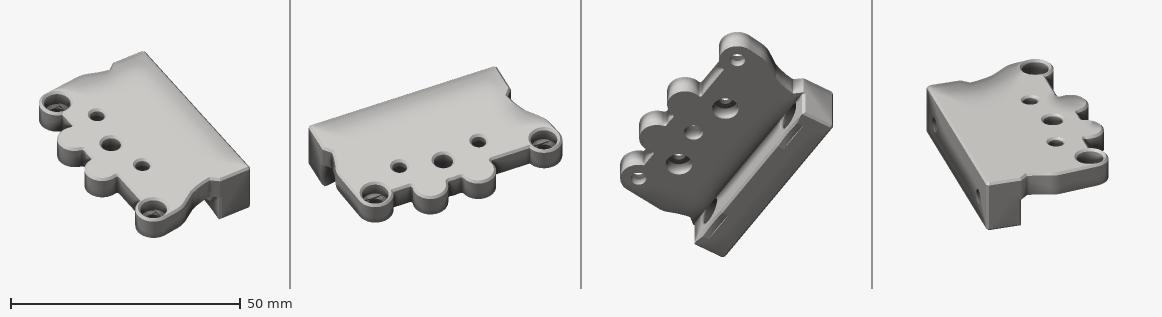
import cadquery as cq
import math


HEIGHT = 12.05
PLATE_THICKNESS = 5.3
PLATE_BOTTOM = HEIGHT - PLATE_THICKNESS
BLOCK_WIDTH = 45.0
BLOCK_DEPTH = 7.9
BLOCK_SIDE = BLOCK_WIDTH / 2
BLOCK_FRONT = -BLOCK_DEPTH
CHAMFER = 0.5

FRONT_EDGE = -26.05
LOBE_RADIUS = 4.0
LEFT_LOBE = (-17.65, -25.05)
RIGHT_LOBE = (22.7, -25.05)
LEFT_FLANK_LEAN = math.radians(6.5)
RIGHT_FLANK_LEAN = math.radians(9)
NOTCH_POINT = (21.05, -9.63)
WAIST_MIDDLE = (21.6, -12.35)
WAIST_END = (22.65, -15.0)
SHOULDER_ANGLE = math.radians(36)
LEFT_SHOULDER_Y = -15.35
LEFT_SHOULDER_RADIUS = 5.15
RIGHT_SHOULDER_RADIUS = 6.4

FRONT_LOBE_RADIUS = 3.9
FRONT_LOBE_X = 5.75
FRONT_LOBE_Y = -27.8
BOSS_RADIUS = 6.1
LOBE_ROOT_FILLET = 0.5
BOSS_ROOT_FILLET = 0.7

CENTER_HOLE = (0, -22.0)
CENTER_HOLE_DIAMETER = 4.2
SIDE_HOLE_X = 9.5
SIDE_HOLE_Y = -19.8
SIDE_HOLE_DIAMETER = 3.2
SIDE_HEAD_DEPTH = 3.45

SCREW_DIAMETER = 3.4
HEAD_DIAMETER = 5.8
LOBE_HEAD_DEPTH = 3.2
BRIDGE_STEP = 0.2
RIM_TAPER = 45
BLOCK_SCREW_X = 16.2
BLOCK_SCREW_Z = 5.35
BLOCK_HEAD_DEPTH = 3.95

RELIEF_X = 15.3
RELIEF_RADIUS = 20.0
RELIEF_RISE = 0.4
RELIEF_DEPTH = 1.95


def disc(center, radius):
    """Plate-thick cylinder standing at a given place."""
    return cq.Workplane("XY", origin=(*center, PLATE_BOTTOM)).circle(radius).extrude(PLATE_THICKNESS)


def flank(lobe, side, lean, y=None):
    """Point on the flank line touching a lobe: at height y, or where it touches; side is -1 or 1."""
    touch_x = lobe[0] + side * LOBE_RADIUS * math.cos(lean)
    touch_y = lobe[1] + side * LOBE_RADIUS * math.sin(lean)
    if y is None:
        return (touch_x, touch_y)
    return (touch_x - (y - touch_y) * math.tan(lean), y)


def right_shoulder():
    """Meeting point of the sloping shoulder and the right flank."""
    slope = math.tan(SHOULDER_ANGLE)
    flank_x = flank(RIGHT_LOBE, 1, RIGHT_FLANK_LEAN, WAIST_END[1])[0]
    drop = (flank_x - WAIST_END[0]) / (slope - math.tan(RIGHT_FLANK_LEAN))
    return (WAIST_END[0] + drop * slope, WAIST_END[1] - drop)


def mirrored(point):
    return (-point[0], point[1])


def round_corners(body, radius, corners):
    """Fillet the upright plate edges nearest to the given corners."""
    for x, y in corners:
        nearest = cq.selectors.NearestToPointSelector((x, y, PLATE_BOTTOM + PLATE_THICKNESS / 2))
        body = body.edges("|Z").edges(nearest).fillet(radius)
    return body


def circle_height(distance, radius):
    """Height of a circle above its centre at a sideways distance."""
    return math.sqrt(radius**2 - distance**2)


def boss_lobe_crossing():
    """Outer crossing of the boss circle and the right front lobe circle."""
    gap_x = FRONT_LOBE_X - CENTER_HOLE[0]
    gap_y = FRONT_LOBE_Y - CENTER_HOLE[1]
    gap = math.hypot(gap_x, gap_y)
    along = (gap**2 + BOSS_RADIUS**2 - FRONT_LOBE_RADIUS**2) / (2 * gap)
    across = circle_height(along, BOSS_RADIUS)
    x = CENTER_HOLE[0] + (along * gap_x + across * gap_y) / gap
    y = CENTER_HOLE[1] + (along * gap_y - across * gap_x) / gap
    return (x, y)


def make_plate():
    left_corner = flank(LEFT_LOBE, -1, LEFT_FLANK_LEAN, LEFT_SHOULDER_Y)
    right_corner = right_shoulder()
    plate = (
        cq.Workplane("XY", origin=(0, 0, PLATE_BOTTOM))
        .moveTo(-BLOCK_SIDE, 0)
        .lineTo(BLOCK_SIDE, 0)
        .lineTo(BLOCK_SIDE, BLOCK_FRONT)
        .lineTo(*NOTCH_POINT)
        .threePointArc(WAIST_MIDDLE, WAIST_END)
        .lineTo(*right_corner)
        .lineTo(*flank(RIGHT_LOBE, 1, RIGHT_FLANK_LEAN))
        .lineTo(RIGHT_LOBE[0], FRONT_EDGE)
        .lineTo(LEFT_LOBE[0], FRONT_EDGE)
        .lineTo(*flank(LEFT_LOBE, -1, LEFT_FLANK_LEAN))
        .lineTo(*left_corner)
        .threePointArc(mirrored(WAIST_MIDDLE), mirrored(NOTCH_POINT))
        .lineTo(-BLOCK_SIDE, BLOCK_FRONT)
        .close()
        .extrude(PLATE_THICKNESS)
    )
    plate = plate.edges("|Z and >Y").chamfer(CHAMFER)
    plate = round_corners(plate, LEFT_SHOULDER_RADIUS, [left_corner])
    plate = round_corners(plate, RIGHT_SHOULDER_RADIUS, [right_corner])

    for center in (LEFT_LOBE, RIGHT_LOBE):
        plate = plate.union(disc(center, LOBE_RADIUS))
    plate = plate.union(disc(CENTER_HOLE, BOSS_RADIUS))
    for side in (-1, 1):
        plate = plate.union(disc((side * FRONT_LOBE_X, FRONT_LOBE_Y), FRONT_LOBE_RADIUS))

    root_x = FRONT_LOBE_X + circle_height(FRONT_EDGE - FRONT_LOBE_Y, FRONT_LOBE_RADIUS)
    plate = round_corners(plate, LOBE_ROOT_FILLET, [(-root_x, FRONT_EDGE), (root_x, FRONT_EDGE)])
    boss_x, boss_y = boss_lobe_crossing()
    plate = round_corners(plate, BOSS_ROOT_FILLET, [(-boss_x, boss_y), (boss_x, boss_y)])
    return plate


def make_block():
    block = cq.Workplane("XY").box(BLOCK_WIDTH, BLOCK_DEPTH, PLATE_BOTTOM, centered=(True, False, False))
    block = block.translate((0, BLOCK_FRONT, 0))
    block = block.edges("|Z and >Y").chamfer(CHAMFER)
    block = block.faces("<Z").edges("not <Y").chamfer(CHAMFER)
    return block.edges("|Z and <Y").chamfer(CHAMFER)


def countersunk_hole(body, center, diameter):
    """Through hole in the plate with a chamfered rim."""
    plane = cq.Workplane("XY", origin=(*center, HEIGHT))
    body = body.cut(plane.circle(diameter / 2).extrude(-PLATE_THICKNESS))
    return body.cut(rim_cone(plane, diameter))


def rim_cone(plane, diameter):
    """Cone that chamfers the rim of a hole sunk from the given plane."""
    return plane.circle(diameter / 2 + CHAMFER).extrude(-CHAMFER, taper=RIM_TAPER)


def lobe_screw_hole(body, center):
    """Counterbored hole whose floor steps down from a slot to a square to the round hole."""
    plane = cq.Workplane("XY", origin=(*center, HEIGHT))
    slot_depth = LOBE_HEAD_DEPTH + BRIDGE_STEP
    square_depth = slot_depth + BRIDGE_STEP
    head = plane.circle(HEAD_DIAMETER / 2).extrude(-slot_depth)
    slot = plane.rect(HEAD_DIAMETER, SCREW_DIAMETER).extrude(-slot_depth).intersect(head)
    body = body.cut(plane.circle(HEAD_DIAMETER / 2).extrude(-LOBE_HEAD_DEPTH))
    body = body.cut(slot)
    body = body.cut(plane.rect(SCREW_DIAMETER, SCREW_DIAMETER).extrude(-square_depth))
    body = body.cut(plane.circle(SCREW_DIAMETER / 2).extrude(-PLATE_THICKNESS))
    return body.cut(rim_cone(plane, HEAD_DIAMETER))


def block_screw_hole(body, x):
    """Counterbored hole running from the front of the block to its back."""
    plane = cq.Workplane("XZ", origin=(x, BLOCK_FRONT, BLOCK_SCREW_Z))
    body = body.cut(plane.circle(SCREW_DIAMETER / 2).extrude(-BLOCK_DEPTH))
    body = body.cut(plane.circle(HEAD_DIAMETER / 2).extrude(-BLOCK_HEAD_DEPTH))
    return body.cut(rim_cone(plane, HEAD_DIAMETER))


def arched_relief(body, x):
    """Shallow arch under the front of the block with a chamfered front rim."""
    plane = cq.Workplane("XZ", origin=(x, BLOCK_FRONT, RELIEF_RISE - RELIEF_RADIUS))
    body = body.cut(plane.circle(RELIEF_RADIUS).extrude(-RELIEF_DEPTH))
    return body.cut(rim_cone(plane, 2 * RELIEF_RADIUS))


def chamfer_block_front(body):
    """Chamfer the lower front edge of the block between the two reliefs."""
    half_length = RELIEF_X - circle_height(RELIEF_RADIUS - RELIEF_RISE, RELIEF_RADIUS)
    wedge = (
        cq.Workplane("YZ", origin=(-half_length, BLOCK_FRONT, 0))
        .polyline([(0, 0), (CHAMFER, 0), (0, CHAMFER)])
        .close()
        .extrude(2 * half_length)
    )
    return body.cut(wedge)


def side_hole(body, x):
    """Rimmed hole in the plate, counterbored from the underside."""
    body = countersunk_hole(body, (x, SIDE_HOLE_Y), SIDE_HOLE_DIAMETER)
    underside = cq.Workplane("XY", origin=(x, SIDE_HOLE_Y, PLATE_BOTTOM))
    return body.cut(underside.circle(HEAD_DIAMETER / 2).extrude(SIDE_HEAD_DEPTH))


result = make_plate().union(make_block())
result = result.faces(">Z").edges().chamfer(CHAMFER)
result = chamfer_block_front(result)
for x_side in (-1, 1):
    result = arched_relief(result, x_side * RELIEF_X)
    result = block_screw_hole(result, x_side * BLOCK_SCREW_X)
    result = side_hole(result, x_side * SIDE_HOLE_X)
result = countersunk_hole(result, CENTER_HOLE, CENTER_HOLE_DIAMETER)
for lobe in (LEFT_LOBE, RIGHT_LOBE):
    result = lobe_screw_hole(result, lobe)